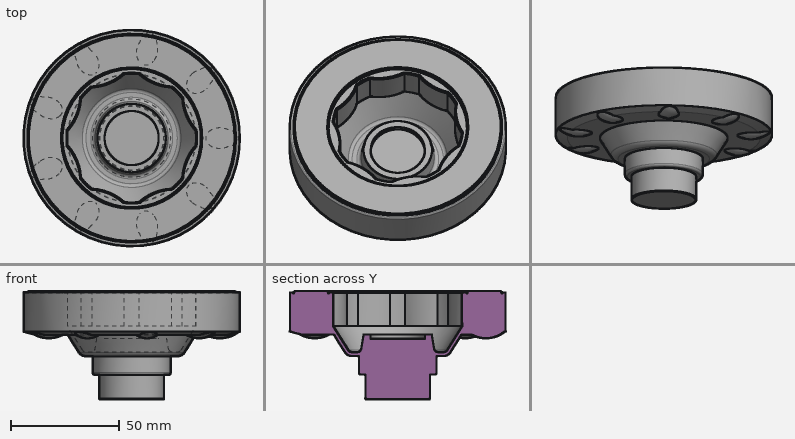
import cadquery as cq
import math

total_height = 50.0
rim_top = 49.5
rim_bottom = 31.2
rim_underside = 29.7
bowl_bottom = 19.8
collar_bottom = 11.2

rim_radius = 50.0
underside_radius = 44.5
bowl_top_radius = 29.5
bowl_bottom_radius = 23.3
collar_radius = 36.1 / 2
stub_radius = 15.0
rim_rounding = 0.6
bowl_rounding = 4.0
collar_rounding = 1.2
stub_chamfer = 0.3

plate_outer_radius = 48.0
plate_inner_radius = 32.1
plate_chamfer = 0.5
groove_width = 0.2
groove_depth = 0.5

lobe_count = 8
pocket_radius = 29.7
lobe_tip_radius = 27.2
land_angle = 13.4
pocket_edge_chamfer = 0.5

bowl_wall = 2.0
boss_top = 30.0
boss_top_radius = 15.8
boss_base_radius = 17.2
boss_fillet = 2.0
boss_recess_radius = 12.5
boss_recess_depth = 2.0

bump_count = 9
bump_inner_end = 34.0
bump_outer_end = 49.3
bump_center_radius = 40.7
bump_lowest = 28.1
bump_length_curvature = 14.0
bump_width_curvature = 8.0


def revolved(outline):
    """Solid of revolution about Z from an outline of (radius, height) points."""
    return cq.Workplane("XZ").polyline(outline).close().revolve(360, (0, 0), (0, 1))


def disc(radius, bottom, top):
    return cq.Workplane("XY", origin=(0, 0, bottom)).circle(radius).extrude(top - bottom)


def polar(radius, degrees):
    angle = math.radians(degrees)
    return (radius * math.cos(angle), radius * math.sin(angle))


def turned_body():
    """Stub, collar, bowl and rim, stacked from the bottom up."""
    stub = disc(stub_radius, 0, collar_bottom).faces("<Z").chamfer(stub_chamfer)
    collar = disc(collar_radius, collar_bottom, bowl_bottom).faces("<Z").edges().fillet(collar_rounding)
    bowl = revolved([
        (0, bowl_bottom),
        (bowl_bottom_radius, bowl_bottom),
        (bowl_top_radius, rim_underside),
        (0, rim_underside),
    ]).faces("<Z").edges().fillet(bowl_rounding)
    rim = revolved([
        (0, rim_underside),
        (underside_radius, rim_underside),
        (rim_radius, rim_bottom),
        (rim_radius, rim_top),
        (0, rim_top),
    ]).faces(">Z").edges().fillet(rim_rounding)
    return stub.union(collar).union(bowl).union(rim)


def bump():
    """Spindle-shaped bump along +X: an arc turned about a radial axis inside the rim."""
    axis_height = bump_lowest + bump_width_curvature
    arc_center_height = bump_lowest + bump_length_curvature

    def arc_point(radius):
        offset = radius - bump_center_radius
        return (radius, arc_center_height - math.sqrt(bump_length_curvature**2 - offset**2))

    return (
        cq.Workplane("XZ")
        .moveTo(bump_inner_end, axis_height)
        .lineTo(*arc_point(bump_inner_end))
        .threePointArc((bump_center_radius, bump_lowest), arc_point(bump_outer_end))
        .lineTo(bump_outer_end, axis_height)
        .close()
        .revolve(360, (bump_inner_end, axis_height), (bump_outer_end, axis_height))
    )


def ring_plate():
    """Flat ring with both top edges chamfered across its whole thickness."""
    top_outer = plate_outer_radius - plate_chamfer
    top_inner = plate_inner_radius + plate_chamfer
    return revolved([
        (plate_inner_radius, rim_top),
        (plate_outer_radius, rim_top),
        (top_outer, total_height),
        (top_inner, total_height),
    ])


def ring_groove(inner_radius):
    bottom = rim_top - groove_depth
    return disc(inner_radius + groove_width, bottom, rim_top).cut(disc(inner_radius, bottom, rim_top))


def fluted_outline(height):
    """Closed outline at the given height: lands on the pocket circle joined by inward lobes."""
    pitch = 360 / lobe_count
    half_land = land_angle / 2
    outline = cq.Workplane("XY", origin=(0, 0, height)).moveTo(*polar(pocket_radius, -half_land))
    for i in range(lobe_count):
        middle = i * pitch
        outline = outline.threePointArc(
            polar(pocket_radius, middle),
            polar(pocket_radius, middle + half_land),
        )
        outline = outline.threePointArc(
            polar(lobe_tip_radius, middle + pitch / 2),
            polar(pocket_radius, middle + pitch - half_land),
        )
    return outline.close()


def fluted_lip():
    """Chamfer around the top edge of the fluted pocket."""
    outline = fluted_outline(rim_top - pocket_edge_chamfer)
    return outline.extrude(pocket_edge_chamfer, taper=-45)


def pocket():
    """Fluted prism above a conical bowl parallel to the outside, with the boss left standing."""
    slope = (rim_underside - bowl_bottom) / (bowl_top_radius - bowl_bottom_radius)
    floor = bowl_bottom + bowl_wall
    wall_offset = bowl_wall * math.hypot(1, slope) / slope
    floor_radius = bowl_bottom_radius + bowl_wall / slope - wall_offset
    flute_bottom = floor + (pocket_radius - floor_radius) * slope

    bowl = revolved([
        (0, floor),
        (floor_radius, floor),
        (pocket_radius, flute_bottom),
        (0, flute_bottom),
    ])
    boss = revolved([
        (0, floor),
        (boss_base_radius, floor),
        (boss_top_radius, boss_top),
        (0, boss_top),
    ])
    bowl = bowl.cut(boss).faces("<Z").edges().fillet(boss_fillet)
    recess = disc(boss_recess_radius, boss_top - boss_recess_depth, boss_top)
    return bowl.union(recess).union(fluted_outline(flute_bottom).extrude(rim_top - flute_bottom))


result = turned_body()
for i in range(bump_count):
    result = result.union(bump().rotate((0, 0, 0), (0, 0, 1), i * 360 / bump_count))
result = result.cut(pocket())
result = result.cut(fluted_lip())
result = result.union(ring_plate())
for inner_radius in (plate_outer_radius, plate_inner_radius - groove_width):
    result = result.cut(ring_groove(inner_radius))